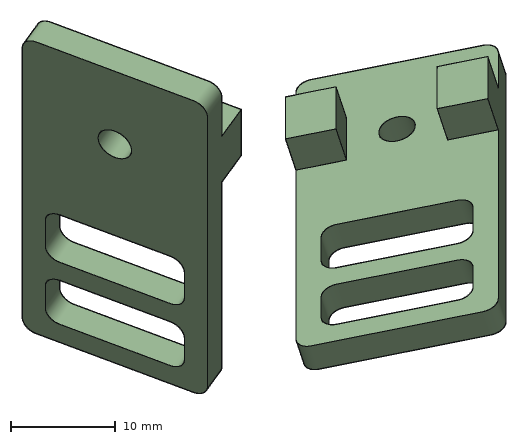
import cadquery as cq

plate_width = 20.0
plate_height = 40.0
plate_thickness = 3.0
corner_radius = 1.5

hole_diameter = 3.6
hole_height = 30.0

window_width = 15.0
lower_window_height = 6.0
upper_window_height = 6.5
window_radius = 1.5
bar_width = (plate_width - window_width) / 2

block_width = 5.0
block_depth = 4.0
block_height = 6.3


def upright_box(width, depth, height, x_center, y_front, z_bottom):
    """Box centred in X, extending back from y_front and up from z_bottom."""
    box = cq.Workplane("XY").box(width, depth, height, centered=(True, False, False))
    return box.translate((x_center, y_front, z_bottom))


def window(height, z_bottom):
    """Cutter for a rounded window through the plate."""
    cutter = upright_box(window_width, plate_thickness, height, 0, 0, z_bottom)
    return cutter.edges("|Y").fillet(window_radius)


plate = upright_box(plate_width, plate_thickness, plate_height, 0, 0, 0)
plate = plate.edges("|Y").fillet(corner_radius)

lower_window_bottom = bar_width
upper_window_bottom = lower_window_bottom + lower_window_height + bar_width
plate = plate.cut(window(lower_window_height, lower_window_bottom))
plate = plate.cut(window(upper_window_height, upper_window_bottom))

hole = (
    cq.Workplane("XZ")
    .center(0, hole_height)
    .circle(hole_diameter / 2)
    .extrude(-plate_thickness)
)
result = plate.cut(hole)

block_offset = (plate_width - block_width) / 2
block_bottom = hole_height - block_height / 2
for side in (-1, 1):
    block = upright_box(
        block_width, block_depth, block_height, side * block_offset, plate_thickness, block_bottom
    )
    result = result.union(block)